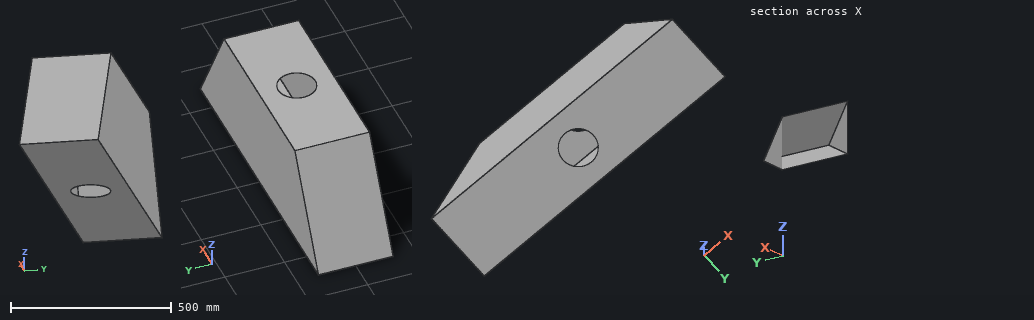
import cadquery as cq
import math

length = 1000
height = 350
top_length = 600
sheet = 1.0
inner_width = 250
hole_diameter = 125.0

end_run = (length - top_length) / 2
slope_length = math.hypot(end_run, height)
base_length = length - 2 * sheet * end_run / height


def trapezoid(bottom, top, tall, thickness):
    """Symmetric trapezoid in XZ, centred on Y, standing on Z = 0."""
    points = [(-bottom / 2, 0), (bottom / 2, 0), (top / 2, tall), (-top / 2, tall)]
    return cq.Workplane("XZ").polyline(points).close().extrude(thickness / 2, both=True)


def vertical_bore():
    return cq.Workplane("XY").circle(hole_diameter / 2).extrude(height)


def make_side_plate(y_centre):
    """Trapezoidal sheet that closes one long side."""
    return trapezoid(length, top_length, height, sheet).translate((0, y_centre, 0))


def make_base_plate():
    """Flat bottom sheet between the side plates, with the lower hole."""
    plate = cq.Workplane("XY").box(base_length, inner_width, sheet, centered=(True, True, False))
    return plate.cut(vertical_bore())


def make_cover():
    """Bent sheet forming the two sloping ends and the top, standing on the base plate."""
    end_offset = sheet * slope_length / height
    top_offset = sheet * (slope_length - end_run) / height
    points = [
        (-base_length / 2, sheet),
        (-top_length / 2, height),
        (top_length / 2, height),
        (base_length / 2, sheet),
        (base_length / 2 - end_offset, sheet),
        (top_length / 2 - top_offset, height - sheet),
        (-top_length / 2 + top_offset, height - sheet),
        (-base_length / 2 + end_offset, sheet),
    ]
    profile = cq.Workplane("XZ").polyline(points).close()
    bent = profile.extrude(inner_width / 2, both=True)
    return bent.cut(vertical_bore())


side_offset = (inner_width + sheet) / 2
side_plates = [make_side_plate(side * side_offset) for side in (-1, 1)]
base_plate = make_base_plate()
cover = make_cover()

result = cq.Compound.makeCompound([
    *[plate.val() for plate in side_plates],
    base_plate.val(),
    cover.val(),
])